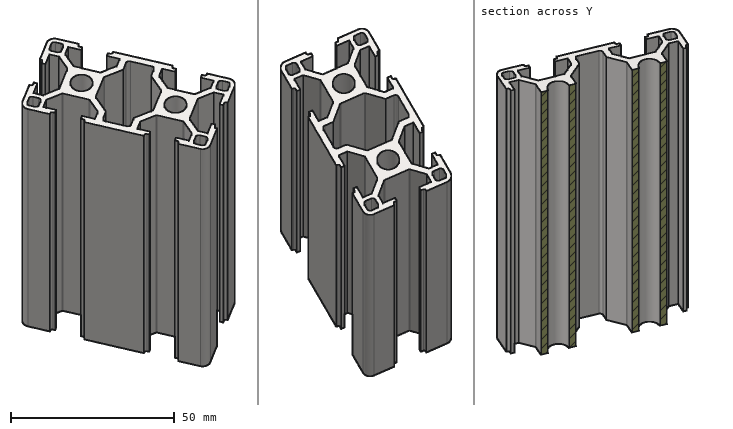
import cadquery as cq

module = 30.0
length = 100.0
half_module = module / 2
module_centers = (-half_module, half_module)
corner_radius = 2.5

mouth_half_width = 5.45
lip_half_width = 4.1
lip_recess = 1.0
lip_recess_radius = 0.6
lip_thickness = 2.2
slot_half_width = 8.25

core_half_width = 5.8
core_bore = 6.8
slot_floor_half_width = 4.3
core_corner_radius = 0.4

cavity_half_width = 4.45
cavity_floor_half_width = 4.2
cavity_corner_radius = 1.0

hollow_wall = 1.5
hollow_size = 3.75
hollow_radius = 1.0

outer_face = half_module
lip_step = half_module - lip_recess
lip_inside = half_module - lip_thickness
slot_shoulder = core_half_width + slot_half_width - slot_floor_half_width


def make_blank():
    blank = cq.Workplane("XY").rect(2 * module, module).extrude(length)
    return blank.edges("|Z").fillet(corner_radius)


def round_corner(prism, corner, radius):
    """Round the vertical edge of the prism that passes through the corner."""
    nearest = cq.selectors.NearestToPointSelector((*corner, length / 2))
    return prism.edges("|Z").edges(nearest).fillet(radius)


def make_slot(center_x, angle):
    """T-slot opening toward +Y, turned by angle about the module axis."""
    half_outline = [
        (mouth_half_width, outer_face),
        (mouth_half_width, lip_step),
        (lip_half_width, lip_step),
        (lip_half_width, lip_inside),
        (slot_half_width, lip_inside),
        (slot_half_width, slot_shoulder),
        (slot_floor_half_width, core_half_width),
    ]
    mirrored = [(-x, y) for x, y in reversed(half_outline)]
    slot = cq.Workplane("XY").polyline(half_outline + mirrored).close().extrude(length)
    for side in (-1, 1):
        recess_corner = (side * mouth_half_width, lip_step)
        floor_corner = (side * slot_floor_half_width, core_half_width)
        slot = round_corner(slot, recess_corner, lip_recess_radius)
        slot = round_corner(slot, floor_corner, core_corner_radius)
    return slot.rotate((0, 0, 0), (0, 0, 1), angle).translate((center_x, 0, 0))


def make_cavity():
    """Cavity with a tall middle and 45 degree flanks down to the core faces."""
    core_face = half_module - core_half_width
    flank_top = cavity_floor_half_width + core_face - cavity_half_width
    upper_right = [
        (core_face, cavity_floor_half_width),
        (cavity_half_width, flank_top),
        (cavity_half_width, lip_inside),
    ]
    upper_left = [(-x, y) for x, y in reversed(upper_right)]
    upper = upper_right + upper_left
    lower = [(-x, -y) for x, y in upper]
    cavity = cq.Workplane("XY").polyline(upper + lower).close().extrude(length)
    cavity = cavity.faces(">Y or <Y").edges("|Z").fillet(cavity_corner_radius)
    return cavity.faces(">X or <X").edges("|Z").fillet(core_corner_radius)


def make_corner_hollows():
    offset_x = module - hollow_wall - hollow_size / 2
    offset_y = half_module - hollow_wall - hollow_size / 2
    hollows = (
        cq.Workplane("XY")
        .rect(2 * offset_x, 2 * offset_y, forConstruction=True)
        .vertices()
        .rect(hollow_size, hollow_size)
        .extrude(length)
    )
    return hollows.edges("|Z").fillet(hollow_radius)


def make_core_bores():
    centers = [(x, 0) for x in module_centers]
    return cq.Workplane("XY").pushPoints(centers).circle(core_bore / 2).extrude(length)


result = make_blank()

for module_x in module_centers:
    for slot_angle in (0, 180):
        result = result.cut(make_slot(module_x, slot_angle))

left_center, right_center = module_centers
result = result.cut(make_slot(left_center, 90))
result = result.cut(make_slot(right_center, -90))

result = result.cut(make_cavity())
result = result.cut(make_corner_hollows())
result = result.cut(make_core_bores())